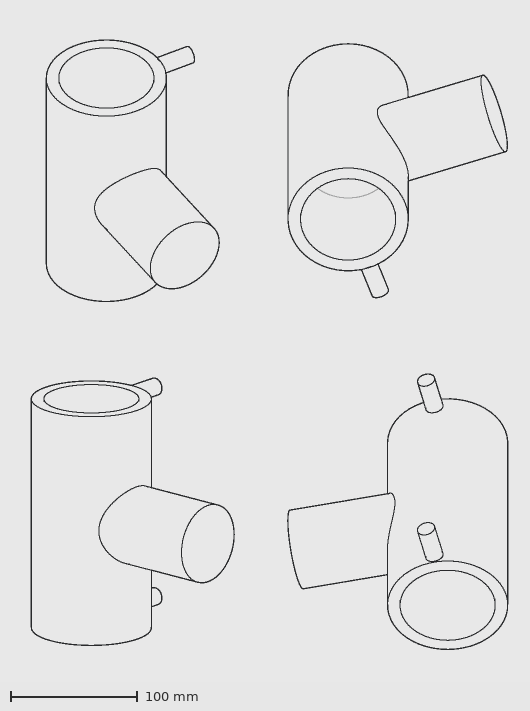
import cadquery as cq

tube_length = 189.0
tube_diameter = 94.9
bore_diameter = 75.0

branch_diameter = 63.1
branch_reach = 122.0

pin_diameter = 14.0
pin_reach = 76.5
pin_end_offset = 8.0


def make_branch():
    return cq.Workplane("YZ").circle(branch_diameter / 2).extrude(branch_reach)


def make_pin(height):
    return cq.Workplane("XZ").center(0, height).circle(pin_diameter / 2).extrude(-pin_reach)


def make_bore():
    return cq.Workplane("XY").circle(bore_diameter / 2).extrude(tube_length / 2, both=True)


body = cq.Workplane("XY").circle(tube_diameter / 2).extrude(tube_length / 2, both=True)
body = body.union(make_branch())

pin_height = tube_length / 2 - pin_end_offset
for height in (-pin_height, pin_height):
    body = body.union(make_pin(height))

result = body.cut(make_bore())